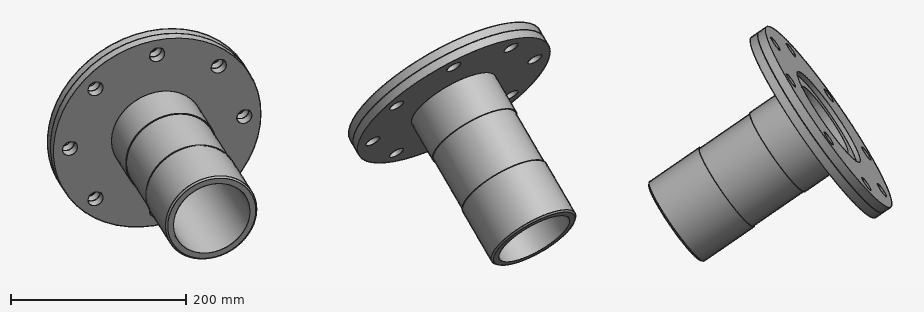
import cadquery as cq

total_length = 214.0

flange_thickness = 21.5
seam_gap = 0.4
layer_thickness = (flange_thickness - seam_gap) / 2
seam_core_diameter = 143.0
flange_diameter = 250.0

bolt_count = 8
bolt_diameter = 18.0
bolt_circle_diameter = 210.0

sleeve_diameter = 110.0
waist_diameter = 107.8
end_land_length = 71.5
waist_length = 71.0
waist_start = total_length - end_land_length - waist_length
end_chamfer = 2.0

bore_diameter = 92.0
recess_diameter = 125.0
recess_depth = 5.5


def cylinder(diameter, start, length):
    """Solid cylinder on the X axis, running from X = start."""
    return cq.Workplane("YZ", origin=(start, 0, 0)).circle(diameter / 2).extrude(length)


def make_flange():
    """Round flange split into two layers by a narrow gap that ends at the core."""
    core = cylinder(seam_core_diameter, 0, flange_thickness)
    front_layer = cylinder(flange_diameter, 0, layer_thickness)
    back_layer = cylinder(flange_diameter, layer_thickness + seam_gap, layer_thickness)
    return core.union(front_layer).union(back_layer)


def make_sleeve():
    """Round sleeve with a chamfered free end and a turned-down waist."""
    sleeve = cylinder(sleeve_diameter, 0, total_length).faces(">X").chamfer(end_chamfer)
    waist_cut = cylinder(sleeve_diameter, waist_start, waist_length).cut(
        cylinder(waist_diameter, waist_start, waist_length)
    )
    return sleeve.cut(waist_cut)


def make_bolt_holes():
    """Cutters for the bolt holes, evenly spaced around the flange."""
    return (
        cq.Workplane("YZ")
        .polarArray(bolt_circle_diameter / 2, 0, 360, bolt_count)
        .circle(bolt_diameter / 2)
        .extrude(flange_thickness)
    )


result = (
    make_flange()
    .union(make_sleeve())
    .cut(cylinder(bore_diameter, 0, total_length))
    .cut(cylinder(recess_diameter, 0, recess_depth))
    .cut(make_bolt_holes())
)